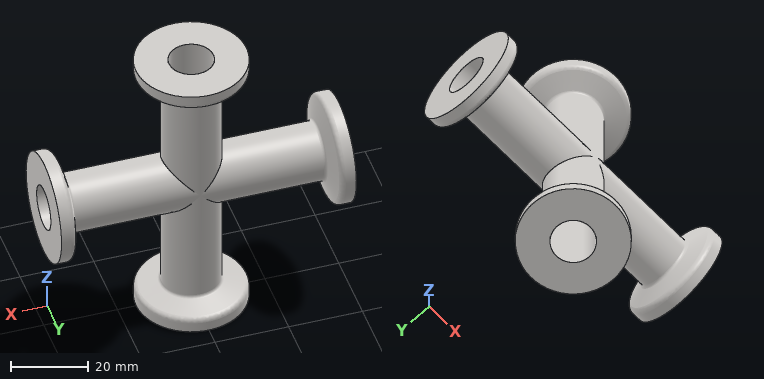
import cadquery as cq
import math

span = 80.0
tube_diameter = 16.0
bore_diameter = 12.0
flange_diameter = 30.0

rim_height = 2.8
rim_fillet = 1.5
neck_fillet = 0.8
cone_angle = 15.0

half_span = span / 2
tube_radius = tube_diameter / 2
flange_radius = flange_diameter / 2
slope = math.radians(cone_angle)

rim_tangent = rim_fillet * math.tan((math.pi / 2 - slope) / 2)
cone_outer_z = half_span - rim_height - rim_tangent
cone_inner_z = cone_outer_z - (flange_radius - tube_radius) * math.tan(slope)


def tube_with_flanges():
    """Solid tube along Z with a flange at each end."""
    half_profile = (
        cq.Workplane("XZ")
        .polyline([
            (0, 0),
            (tube_radius, 0),
            (tube_radius, cone_inner_z),
            (flange_radius, cone_outer_z),
            (flange_radius, half_span),
            (0, half_span),
        ])
        .close()
    )
    half = half_profile.revolve(360, (0, 0, 0), (0, 1, 0))
    half = round_circle(half, flange_radius, cone_outer_z, rim_fillet)
    half = round_circle(half, tube_radius, cone_inner_z, neck_fillet)
    return half.union(half.mirror("XY"))


def round_circle(body, radius, height, fillet):
    """Fillet the circular edge of the given radius at the given height."""
    margin = 0.1
    reach = radius + margin
    ring = cq.selectors.BoxSelector(
        (-reach, -reach, height - margin),
        (reach, reach, height + margin),
        boundingbox=True,
    )
    return body.edges(ring).fillet(fillet)


def along_x(body):
    """Turn a body lying along Z so that it lies along X."""
    return body.rotate((0, 0, 0), (0, 1, 0), 90)


run = tube_with_flanges()
bore = cq.Workplane("XY").circle(bore_diameter / 2).extrude(half_span, both=True)

result = run.union(along_x(run)).cut(bore).cut(along_x(bore))